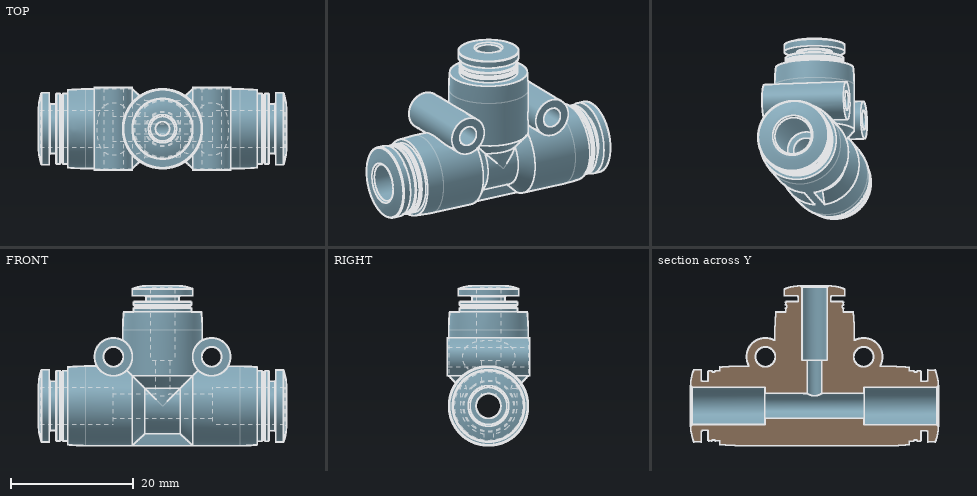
import cadquery as cq
import math

run_end = 20.2
branch_end = 19.6

body_radius = 6.5
neck_radius = 4.6
neck_half_length = 2.85
shoulder = 4.93
mouth_radius = 6.35

ring_chamfer = 0.15
groove_width = 0.25
groove_depth = 0.2

run_rim_chamfer = 0.14
branch_rim_chamfer = 0.1
neck_flare = 0.15

socket_depth = 12.1
run_bore_diameter = 4.0
branch_bore_diameter = 2.3

lug_diameter = 6.2
lug_hole_diameter = 3.2
lug_length = 13.5
lug_offset = 8.0

web_thickness = 1.6


def port_solid(end, collar_diameter, rim_depth, rim_chamfer, collar_depth, stem_diameter,
               ring_depth, groove_start, body_depth, ring_diameter, taper_depth,
               socket_diameter, opening_diameter):
    """One arm of the tee as a revolved solid along +Z, depths measured from its end face."""
    collar_radius = collar_diameter / 2
    stem_radius = stem_diameter / 2
    ring_radius = ring_diameter / 2
    groove_radius = ring_radius - groove_depth
    groove_end = groove_start + groove_width
    opening_radius = opening_diameter / 2
    socket_radius = socket_diameter / 2

    dome_radius = collar_radius - rim_chamfer
    dome_depth = rim_depth - rim_chamfer
    dome_width = dome_radius - opening_radius
    dome_curve = (dome_width**2 + dome_depth**2) / (2 * dome_depth)
    half_width = dome_width / 2
    half_drop = dome_curve - math.sqrt(dome_curve**2 - half_width**2)

    outline = (
        cq.Workplane("XZ")
        .moveTo(0, 0)
        .lineTo(neck_radius, 0)
        .lineTo(neck_radius, neck_half_length)
        .lineTo(body_radius, shoulder)
        .lineTo(body_radius, end - taper_depth)
        .tangentArcPoint((mouth_radius, end - body_depth), relative=False)
        .lineTo(ring_radius, end - body_depth)
        .lineTo(ring_radius, end - groove_end - ring_chamfer)
        .lineTo(groove_radius, end - groove_end)
        .lineTo(groove_radius, end - groove_start)
        .lineTo(ring_radius, end - groove_start + ring_chamfer)
        .lineTo(ring_radius, end - ring_depth - ring_chamfer)
        .lineTo(ring_radius - ring_chamfer, end - ring_depth)
        .lineTo(stem_radius, end - ring_depth)
        .lineTo(stem_radius, end - collar_depth - neck_flare)
        .lineTo(stem_radius + neck_flare, end - collar_depth)
        .lineTo(collar_radius, end - collar_depth)
        .lineTo(collar_radius, end - rim_depth)
        .lineTo(dome_radius, end - dome_depth)
        .threePointArc((opening_radius + half_width, end - half_drop), (opening_radius, end))
        .lineTo(socket_radius, end - (opening_radius - socket_radius))
        .lineTo(socket_radius, end - socket_depth)
        .lineTo(0, end - socket_depth)
        .close()
    )
    return outline.revolve(360, (0, 0, 0), (0, 1, 0))


def lug_cylinder(side, diameter):
    """Cylinder on a lug axis; side is -1 or +1 along X."""
    return (
        cq.Workplane("XZ", origin=(0, lug_length / 2, 0))
        .center(side * lug_offset, lug_offset)
        .circle(diameter / 2)
        .extrude(lug_length)
    )


run_port = port_solid(
    end=run_end, collar_diameter=11.8, rim_depth=0.55, rim_chamfer=run_rim_chamfer,
    collar_depth=1.78, stem_diameter=8.1, ring_depth=2.83, groove_start=3.65, body_depth=4.75,
    ring_diameter=11.5, taper_depth=7.65, socket_diameter=6.0, opening_diameter=6.63,
)
branch_port = port_solid(
    end=branch_end, collar_diameter=9.9, rim_depth=0.55, rim_chamfer=branch_rim_chamfer,
    collar_depth=1.65, stem_diameter=5.4, ring_depth=2.6, groove_start=3.3, body_depth=4.3,
    ring_diameter=9.5, taper_depth=7.2, socket_diameter=4.0, opening_diameter=4.6,
)

tee = branch_port
for direction in (-1, 1):
    tee = tee.union(run_port.rotate((0, 0, 0), (0, 1, 0), direction * 90))

web = cq.Workplane("XY").box(
    2 * shoulder, web_thickness, body_radius, centered=(True, True, False)
).translate((0, 0, -body_radius))
body_envelope = cq.Workplane("YZ").circle(body_radius).extrude(shoulder, both=True)
tee = tee.union(web.intersect(body_envelope))

for side in (-1, 1):
    lug = lug_cylinder(side, lug_diameter)
    tee = tee.union(lug)
for side in (-1, 1):
    tee = tee.cut(lug_cylinder(side, lug_hole_diameter))

run_bore = (
    cq.Workplane("YZ", origin=(-run_end, 0, 0))
    .circle(run_bore_diameter / 2)
    .extrude(2 * run_end)
)
branch_bore = cq.Workplane("XY").circle(branch_bore_diameter / 2).extrude(branch_end)
result = tee.cut(run_bore).cut(branch_bore)